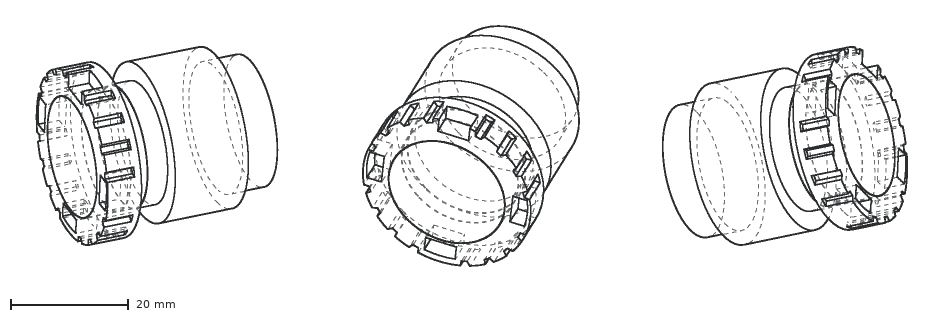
import cadquery as cq
import math


total_length = 33.0
knob_length = 6.25
neck_length = 3.07
collar_length = 3.7
sleeve_length = 13.53
collar_front = knob_length + neck_length
sleeve_front = collar_front + collar_length
barrel_front = sleeve_front + sleeve_length
barrel_length = total_length - barrel_front

knob_diameter = 30.5
neck_diameter = 21.25
spigot_diameter = 21.02
knob_bore_diameter = 21.2
collar_diameter = 21.5
sleeve_diameter = 28.05
barrel_diameter = 23.05

knob_tilt = -5.4
pocket_count = 4
pocket_pitch = 360 / pocket_count

notch_positions = 20
notch_pitch = 360 / notch_positions
positions_per_pocket = notch_positions // pocket_count
notch_length = 5.0
notch_floor_radius = 14.3
notch_floor_width = 1.05
notch_mouth_width = 1.78

pocket_depth = 3.83
pocket_width = 5.6
pocket_inner_distance = 11.7
pocket_outer_radius = 14.62
pocket_center_offset = 0.65


def disc(front, length, diameter):
    """Cylinder on the common axis, from y = front backwards."""
    plane = cq.Workplane("XZ", origin=(0, front, 0))
    return plane.circle(diameter / 2).extrude(-length)


def turned(shape, angle):
    """Shape turned about the common axis, counterclockwise seen from the front."""
    return shape.rotate((0, 0, 0), (0, -1, 0), angle)


def grip_notch():
    """Cutter for one notch at the top of the knob, narrowing towards its floor."""
    knob_radius = knob_diameter / 2
    return (
        cq.Workplane("XZ")
        .moveTo(-notch_floor_width / 2, notch_floor_radius)
        .lineTo(notch_floor_width / 2, notch_floor_radius)
        .lineTo(notch_mouth_width / 2, knob_radius)
        .lineTo(-notch_mouth_width / 2, knob_radius)
        .close()
        .extrude(-notch_length)
    )


def front_pocket():
    """Cutter for one pocket above the axis."""
    half_width = pocket_width / 2
    corner_height = math.sqrt(pocket_outer_radius**2 - half_width**2)
    return (
        cq.Workplane("XZ")
        .moveTo(half_width, pocket_inner_distance)
        .lineTo(half_width, corner_height)
        .threePointArc((0, pocket_outer_radius), (-half_width, corner_height))
        .lineTo(-half_width, pocket_inner_distance)
        .close()
        .extrude(-pocket_depth)
    )


def make_housing():
    """Rear barrel, wide sleeve and short collar."""
    collar = disc(collar_front, collar_length, collar_diameter)
    sleeve = disc(sleeve_front, sleeve_length, sleeve_diameter)
    barrel = disc(barrel_front, barrel_length, barrel_diameter)
    return collar.union(sleeve).union(barrel)


def make_core():
    """Neck in front of the collar, with a spigot that fills the knob with a narrow clearance."""
    spigot = disc(0, knob_length, spigot_diameter)
    neck = disc(knob_length, neck_length, neck_diameter)
    return spigot.union(neck)


def make_knob():
    """Grip ring around the spigot, seated against the neck."""
    knob = disc(0, knob_length, knob_diameter).cut(disc(0, knob_length, knob_bore_diameter))

    for position in range(notch_positions):
        if position % positions_per_pocket != 0:
            knob = knob.cut(turned(grip_notch(), position * notch_pitch))

    for index in range(pocket_count):
        pocket = turned(front_pocket(), index * pocket_pitch)
        knob = knob.cut(pocket.translate((0, 0, pocket_center_offset)))

    return turned(knob, knob_tilt)


housing = make_housing()
core = make_core()
knob = make_knob()

result = cq.Compound.makeCompound([housing.solids().val(), core.solids().val(), knob.solids().val()])